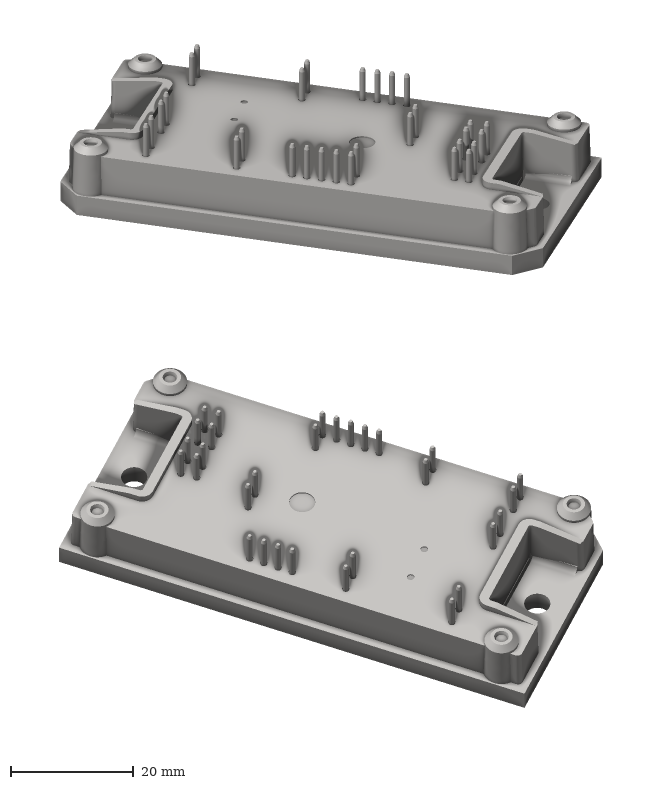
import cadquery as cq

BASE_LENGTH = 82.0
BASE_WIDTH = 37.4
BASE_HEIGHT = 3.5
BASE_CHAMFER = 4.0
MOUNT_HOLE_X = 35.5
MOUNT_HOLE_DIAMETER = 4.3

DRAFT = 1.5
HOUSING_LENGTH = 79.5
HOUSING_WIDTH = 34.6
HOUSING_TOP = 10.4
HOUSING_CHAMFER = 3.1
HOUSING_CORNER_RADIUS = 0.8
HOUSING_HEIGHT = HOUSING_TOP - BASE_HEIGHT

NOTCH_WALL_X = 30.6
NOTCH_WALL_LEAN = 0.1
NOTCH_WALL_UNDERCUT = 0.1
NOTCH_WALL_BEND = 10.2
NOTCH_INNER_HALF_WIDTH = 8.7
NOTCH_OUTER_HALF_WIDTH = 9.0
NOTCH_INNER_RADIUS = 0.4
NOTCH_MOUTH_RADIUS = 1.0
MOUTH_SEARCH_SIZE = 2.5
LIP_WALL_X = 28.9
LIP_HALF_WIDTH = 10.0
LIP_CORNER_RADIUS = 1.9
LIP_TOP = 11.65
LIP_SLOPE_FOOT_X = 39.4
LIP_CREST_X = 32.15
LIP_CREST_RADIUS = 3.6
FOOT_FILLET = 1.15
FOOT_FILLET_END_X = 38.9
FOOT_EDGE_HALF_WIDTH = 7.7
SLIT_WIDTH = 0.5

BOSS_X = 35.6
BOSS_Y = 15.4
BOSS_FOOT_RADIUS = 3.0
BOSS_RADIUS = 2.8
BOSS_SHOULDER = 10.9
BOSS_TOP = 11.9
BOSS_TOP_RADIUS = 1.8
BOSS_HOLE_DIAMETER = 2.4
BOSS_HOLE_FLOOR_DIAMETER = 1.8
BOSS_HOLE_DEPTH = 0.65

PIN_DIAMETER = 1.0
PIN_TIP_DIAMETER = 0.6
PIN_SHOULDER = 15.7
PIN_TOP = 16.2
FRONT_ROW_LENGTH = 10.0
FRONT_ROW_COUNT = 5
BACK_ROW_COUNT = 4
PIN_PITCH = FRONT_ROW_LENGTH / (FRONT_ROW_COUNT - 1)
PIN_PAIR_PITCH = 2.95
PIN_ROW_Y = 14.5
INNER_ROW_Y = PIN_ROW_Y - PIN_PAIR_PITCH
LEFT_PIN_X = -26.5
RIGHT_PIN_X = 26.5
CLOSE_PAIR_X = 23.8
CLOSE_PAIR_Y = 1.7
BACK_ROW_X = 1.6
FRONT_ROW_X = -1.6
PIN_HOLE_DIAMETER = 1.2
PIN_PAIRS = [
    (LEFT_PIN_X, PIN_ROW_Y),
    (LEFT_PIN_X, -3.0),
    (LEFT_PIN_X, -INNER_ROW_Y),
    (-7.8, PIN_ROW_Y),
    (-11.1, -INNER_ROW_Y),
    (13.6, 4.4),
    (RIGHT_PIN_X, 2.0),
    (24.0, -5.25),
    (RIGHT_PIN_X, -5.25),
]

OPEN_PIN_HOLES = [(-16.6, 8.1), (-16.3, 1.7)]
RECESS_X = 5.9
RECESS_DIAMETER = 4.3
TOP_HOLE_DEPTH = 0.25


def pin_positions():
    """Centres of all contact pins."""
    points = []
    for x, y in PIN_PAIRS:
        points.append((x, y))
        points.append((x, y - PIN_PAIR_PITCH))
    points.append((CLOSE_PAIR_X, CLOSE_PAIR_Y))
    points.append((CLOSE_PAIR_X, CLOSE_PAIR_Y - PIN_PITCH))
    for i in range(BACK_ROW_COUNT):
        points.append((BACK_ROW_X + i * PIN_PITCH, PIN_ROW_Y))
    for i in range(FRONT_ROW_COUNT):
        points.append((FRONT_ROW_X + i * PIN_PITCH, -PIN_ROW_Y))
    points.append((FRONT_ROW_X + FRONT_ROW_LENGTH, -INNER_ROW_Y))
    return points


def both_ends(shape):
    """The left-hand shape together with its mirror image at the right end."""
    return shape.union(shape.mirror("YZ"))


def make_base():
    plate = cq.Workplane("XY").box(BASE_LENGTH, BASE_WIDTH, BASE_HEIGHT, centered=(True, True, False))
    return plate.edges("|Z and <Y").chamfer(BASE_CHAMFER)


def make_housing():
    """Drafted block without its notches; the two front corners are cut off."""
    half_length = HOUSING_LENGTH / 2
    half_width = HOUSING_WIDTH / 2
    block = (
        cq.Workplane("XY", origin=(0, 0, BASE_HEIGHT))
        .moveTo(-half_length, half_width)
        .lineTo(half_length, half_width)
        .lineTo(half_length, -half_width + HOUSING_CHAMFER)
        .lineTo(half_length - HOUSING_CHAMFER, -half_width)
        .lineTo(-half_length + HOUSING_CHAMFER, -half_width)
        .lineTo(-half_length, -half_width + HOUSING_CHAMFER)
        .close()
        .extrude(HOUSING_HEIGHT, taper=DRAFT)
    )
    return block.edges("not(<Z or >Z)").fillet(HOUSING_CORNER_RADIUS)


def make_lip():
    """Rim around the left notch; its top slopes down to the housing at the outer end."""
    rim = (
        cq.Workplane("XZ", origin=(0, LIP_HALF_WIDTH, 0))
        .moveTo(-LIP_SLOPE_FOOT_X, HOUSING_TOP)
        .lineTo(-LIP_CREST_X, LIP_TOP)
        .lineTo(-LIP_WALL_X, LIP_TOP)
        .lineTo(-LIP_WALL_X, HOUSING_TOP)
        .close()
        .extrude(2 * LIP_HALF_WIDTH)
    )
    rim = rim.edges("|Z and >X").fillet(LIP_CORNER_RADIUS)
    crest = cq.selectors.NearestToPointSelector((-LIP_CREST_X, 0, LIP_TOP))
    return rim.edges(crest).fillet(LIP_CREST_RADIUS)


def make_notch():
    """Cutter for the left notch, open to the outside and upwards."""
    mouth_x = -HOUSING_LENGTH / 2
    height = LIP_TOP - BASE_HEIGHT
    upper_wall_x = -NOTCH_WALL_X + NOTCH_WALL_LEAN
    cutter = (
        cq.Workplane("XY", origin=(0, 0, BASE_HEIGHT))
        .moveTo(mouth_x, -NOTCH_OUTER_HALF_WIDTH)
        .lineTo(upper_wall_x, -NOTCH_INNER_HALF_WIDTH)
        .lineTo(upper_wall_x, NOTCH_INNER_HALF_WIDTH)
        .lineTo(mouth_x, NOTCH_OUTER_HALF_WIDTH)
        .close()
        .extrude(height)
    )
    cutter = cutter.edges("|Z and >X").fillet(NOTCH_INNER_RADIUS)
    wall_profile = (
        cq.Workplane("XZ", origin=(0, NOTCH_OUTER_HALF_WIDTH, 0))
        .moveTo(mouth_x, BASE_HEIGHT)
        .lineTo(-NOTCH_WALL_X + NOTCH_WALL_UNDERCUT, BASE_HEIGHT)
        .lineTo(-NOTCH_WALL_X, BASE_HEIGHT + FOOT_FILLET)
        .lineTo(upper_wall_x, NOTCH_WALL_BEND)
        .lineTo(upper_wall_x, LIP_TOP)
        .lineTo(mouth_x, LIP_TOP)
        .close()
        .extrude(2 * NOTCH_OUTER_HALF_WIDTH)
    )
    return cutter.intersect(wall_profile)


def round_notch_mouths(housing):
    """Round the upright edges where the notches open through the end faces."""
    for x in (-HOUSING_LENGTH / 2, HOUSING_LENGTH / 2):
        for y in (-NOTCH_OUTER_HALF_WIDTH, NOTCH_OUTER_HALF_WIDTH):
            centre = (x, y, BASE_HEIGHT + HOUSING_HEIGHT / 2)
            near_mouth = cq.selectors.BoxSelector(
                tuple(c - MOUTH_SEARCH_SIZE / 2 for c in centre),
                tuple(c + MOUTH_SEARCH_SIZE / 2 for c in centre),
            )
            housing = housing.edges(near_mouth).fillet(NOTCH_MOUTH_RADIUS)
    return housing


def make_foot_fillets():
    """Concave fillets where the side walls of the left notch meet the base plate."""
    length = FOOT_FILLET_END_X - NOTCH_WALL_X
    strip = (
        cq.Workplane("YZ", origin=(-FOOT_FILLET_END_X, 0, 0))
        .moveTo(FOOT_EDGE_HALF_WIDTH, BASE_HEIGHT)
        .radiusArc((FOOT_EDGE_HALF_WIDTH + FOOT_FILLET, BASE_HEIGHT + FOOT_FILLET), -FOOT_FILLET)
        .lineTo(LIP_HALF_WIDTH, BASE_HEIGHT + FOOT_FILLET)
        .lineTo(LIP_HALF_WIDTH, BASE_HEIGHT)
        .close()
        .extrude(length)
    )
    return strip.union(strip.mirror("XZ"))


def make_slit():
    """Narrow gap through the base plate at the foot of the left notch wall."""
    height = BASE_HEIGHT + FOOT_FILLET
    return (
        cq.Workplane("XY", origin=(-NOTCH_WALL_X - SLIT_WIDTH, 0, 0))
        .box(SLIT_WIDTH, 2 * NOTCH_INNER_HALF_WIDTH, height, centered=(False, True, False))
    )


def make_boss():
    """Slightly conical post with a bevelled top and a blind hole."""
    return (
        cq.Workplane("XZ")
        .moveTo(0, BASE_HEIGHT)
        .lineTo(BOSS_FOOT_RADIUS, BASE_HEIGHT)
        .lineTo(BOSS_RADIUS, BOSS_SHOULDER)
        .lineTo(BOSS_TOP_RADIUS, BOSS_TOP)
        .lineTo(BOSS_HOLE_DIAMETER / 2, BOSS_TOP)
        .lineTo(BOSS_HOLE_FLOOR_DIAMETER / 2, BOSS_TOP - BOSS_HOLE_DEPTH)
        .lineTo(0, BOSS_TOP - BOSS_HOLE_DEPTH)
        .close()
        .revolve(360, (0, 0, 0), (0, 1, 0))
    )


def make_pin():
    """Round pin with a tapered tip, standing on the floor of its hole."""
    return (
        cq.Workplane("XZ")
        .moveTo(0, HOUSING_TOP - TOP_HOLE_DEPTH)
        .lineTo(PIN_DIAMETER / 2, HOUSING_TOP - TOP_HOLE_DEPTH)
        .lineTo(PIN_DIAMETER / 2, PIN_SHOULDER)
        .lineTo(PIN_TIP_DIAMETER / 2, PIN_TOP)
        .lineTo(0, PIN_TOP)
        .close()
        .revolve(360, (0, 0, 0), (0, 1, 0))
    )


def top_holes(points, diameter):
    """Cutter for blind round holes in the housing top."""
    return (
        cq.Workplane("XY", origin=(0, 0, HOUSING_TOP))
        .pushPoints(points)
        .circle(diameter / 2)
        .extrude(-TOP_HOLE_DEPTH)
    )


notches = both_ends(make_notch())
housing = round_notch_mouths(make_housing().cut(notches))
housing = housing.union(both_ends(make_lip()).cut(notches))
result = make_base().union(housing).union(both_ends(make_foot_fillets()))
result = result.cut(both_ends(make_slit()))

mount_holes = (
    cq.Workplane("XY")
    .pushPoints([(-MOUNT_HOLE_X, 0), (MOUNT_HOLE_X, 0)])
    .circle(MOUNT_HOLE_DIAMETER / 2)
    .extrude(BASE_HEIGHT)
)
result = result.cut(mount_holes)

boss = make_boss()
for x in (-BOSS_X, BOSS_X):
    for y in (-BOSS_Y, BOSS_Y):
        result = result.union(boss.translate((x, y, 0)))

pin_points = pin_positions()
result = result.cut(top_holes(pin_points + OPEN_PIN_HOLES, PIN_HOLE_DIAMETER))
result = result.cut(top_holes([(RECESS_X, 0)], RECESS_DIAMETER))

pin = make_pin()
for x, y in pin_points:
    result = result.union(pin.translate((x, y, 0)))